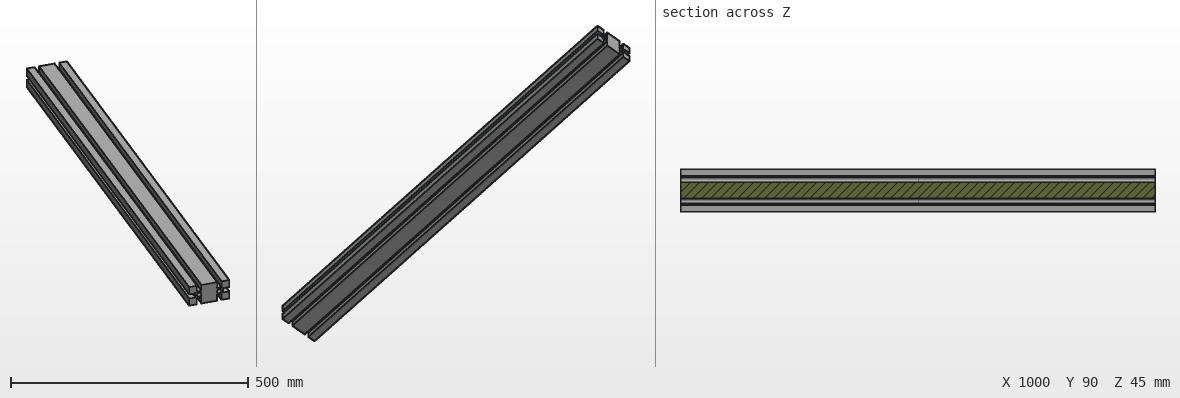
import cadquery as cq

length = 1000.0
module = 45.0
width = 2 * module
slot_width = 10.0
slot_depth = 14.0
bore_diameter = 10.0

module_centers = [(-module / 2, 0), (module / 2, 0)]


def solid_bar():
    """Plain rectangular bar centred on the origin."""
    return cq.Workplane("XY").box(length, width, module)


def face_slots():
    """Open slots on the top and bottom faces, one pair per module."""
    slots = cq.Workplane("XY")
    for y, _ in module_centers:
        for side in (-1, 1):
            z = side * (module - slot_depth) / 2
            slot = cq.Workplane("XY").box(length, slot_width, slot_depth)
            slots = slots.union(slot.translate((0, y, z)))
    return slots


def edge_slots():
    """Open slots along the middle of the two narrow sides."""
    slots = cq.Workplane("XY")
    for side in (-1, 1):
        y = side * (width - slot_depth) / 2
        slot = cq.Workplane("XY").box(length, slot_depth, slot_width)
        slots = slots.union(slot.translate((0, y, 0)))
    return slots


def core_bores():
    """Lengthwise round bore through the core of each module."""
    return (
        cq.Workplane("YZ")
        .pushPoints(module_centers)
        .circle(bore_diameter / 2)
        .extrude(length / 2, both=True)
    )


result = solid_bar().cut(face_slots()).cut(edge_slots()).cut(core_bores())